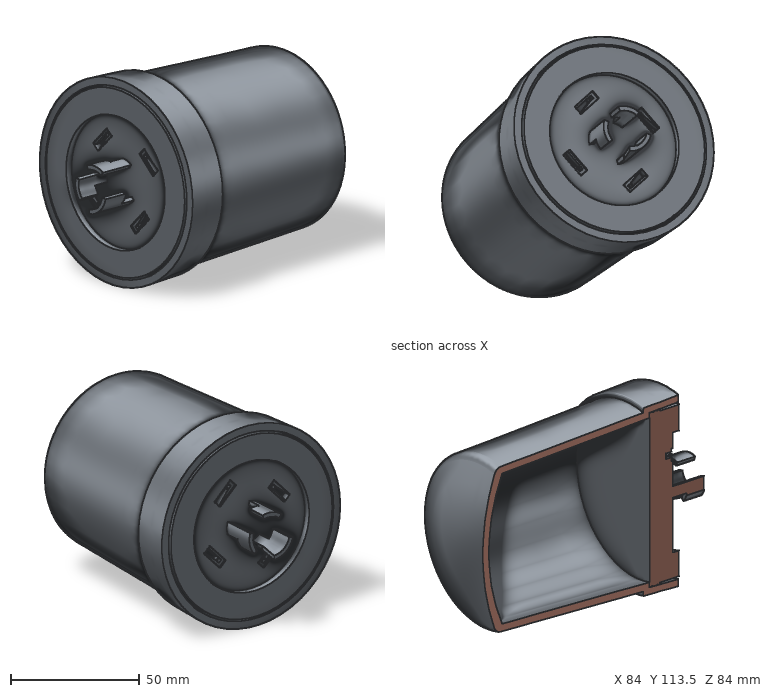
import cadquery as cq
import math


total_length = 113.5

rim_radius = 42.0
collar_top_radius = 41.3
collar_height = 17.6
collar_edge_fillet = 0.7
body_bottom_radius = 39.4
body_top_radius = 36.5
shoulder_height = 91.1
dome_height = 98.2
shoulder_fillet = 3.9

wall = 3.2
seat_height = collar_height - wall
mouth_radius = rim_radius - wall
seat_radius = mouth_radius - (rim_radius - collar_top_radius) * seat_height / collar_height
cavity_bottom_radius = body_bottom_radius - wall
cavity_top_radius = body_top_radius - wall

base_radius = 37.9
base_protrusion = 0.3
groove_depth = 9.1
recess_radius = 27.1
recess_depth = 3.1
recess_floor = recess_depth - base_protrusion

slot_count = 4
first_diagonal = 45
slot_length = 10.6
slot_width = 3.7
slot_depth = 0.7
slot_radials = [18.2, 17.7]
slot_shift = 3.2
pocket_depth = 3.4
pocket_length = 7.3
pocket_wide_end = 2.6
pocket_narrow_end = 1.5
pocket_margin = 0.9
eye_size = 1.5
eye_gap = 0.3

prong_inner_radius = 7.7
prong_outer_radius = 9.5
hook_start = 4.0
short_reach = 13.0
long_reach = total_length - dome_height
long_stem_start = 287
long_stem_end = 318
long_tip_start = 273
prongs = [
    (54, 84, 110, short_reach),
    (163, 195, 221, short_reach),
    (long_stem_start, long_stem_end, 349, long_reach),
]


def dome_arc_middle(edge_radius, edge_height, top_height):
    """Point halfway along the circular arc from the dome's edge to its top on the axis."""
    rise = top_height - edge_height
    sphere_radius = (edge_radius**2 + rise**2) / (2 * rise)
    half_angle = math.asin(edge_radius / sphere_radius) / 2
    drop = sphere_radius * (1 - math.cos(half_angle))
    return (sphere_radius * math.sin(half_angle), top_height - drop)


def revolve_about_y(profile):
    return profile.close().revolve(360, (0, 0, 0), (0, 1, 0))


def fillet_circle(solid, radius, height, fillet_radius):
    """Round the circular edge that has this radius at this height."""
    tolerance = 0.01
    near_center = cq.selectors.BoxSelector(
        (-tolerance, height - tolerance, -tolerance),
        (tolerance, height + tolerance, tolerance),
        boundingbox=False,
    )
    circles = solid.edges("%CIRCLE").edges(near_center)
    matching = [circle for circle in circles.vals() if abs(circle.radius() - radius) < tolerance]
    return solid.newObject(matching).fillet(fillet_radius)


def make_cover():
    outside = revolve_about_y(
        cq.Workplane("XY")
        .lineTo(rim_radius, 0)
        .lineTo(collar_top_radius, collar_height)
        .lineTo(body_bottom_radius, collar_height)
        .lineTo(body_top_radius, shoulder_height)
        .threePointArc(
            dome_arc_middle(body_top_radius, shoulder_height, dome_height), (0, dome_height)
        )
    )
    outside = fillet_circle(outside, collar_top_radius, collar_height, collar_edge_fillet)
    outside = fillet_circle(outside, body_top_radius, shoulder_height, shoulder_fillet)
    cavity_shoulder = shoulder_height - wall
    cavity_top = dome_height - wall
    cavity = revolve_about_y(
        cq.Workplane("XY")
        .lineTo(mouth_radius, 0)
        .lineTo(seat_radius, seat_height)
        .lineTo(cavity_bottom_radius, seat_height)
        .lineTo(cavity_top_radius, cavity_shoulder)
        .threePointArc(
            dome_arc_middle(cavity_top_radius, cavity_shoulder, cavity_top), (0, cavity_top)
        )
    )
    return outside.cut(cavity)


def facing_plane(height):
    """Sketch plane across the axis: local x is X, local y is Z, extrusion runs toward -Y."""
    return cq.Workplane("XZ", origin=(0, height, 0))


def base_plug():
    flange_radius = mouth_radius + (seat_radius - mouth_radius) * groove_depth / seat_height
    return revolve_about_y(
        cq.Workplane("XY")
        .moveTo(0, recess_floor)
        .lineTo(recess_radius, recess_floor)
        .lineTo(recess_radius, -base_protrusion)
        .lineTo(base_radius, -base_protrusion)
        .lineTo(base_radius, groove_depth)
        .lineTo(flange_radius, groove_depth)
        .lineTo(seat_radius, seat_height)
        .lineTo(0, seat_height)
    )


def contact_pocket():
    """Tapered pocket and small square eye, placed about the middle of a slot lying along local y."""
    straight_side = pocket_margin - slot_width / 2
    pocket_start = -slot_length / 2
    pocket_end = pocket_start + pocket_length
    pocket = (
        facing_plane(recess_floor)
        .moveTo(straight_side, pocket_start)
        .lineTo(straight_side + pocket_wide_end, pocket_start)
        .lineTo(straight_side + pocket_narrow_end, pocket_end)
        .lineTo(straight_side, pocket_end)
        .close()
        .extrude(-pocket_depth)
    )
    eye = (
        facing_plane(recess_floor)
        .center(straight_side + eye_size / 2, pocket_end + eye_gap + eye_size / 2)
        .rect(eye_size, eye_size)
        .extrude(-pocket_depth)
    )
    return pocket.union(eye)


def slot_cutter(index):
    """Shallow slot with a contact pocket in its floor; every second pocket is turned end for end."""
    slot = facing_plane(recess_floor).rect(slot_width, slot_length).extrude(-slot_depth)
    pocket = contact_pocket().rotate((0, 0, 0), (0, 1, 0), 180 * (index % 2))
    radial = slot_radials[index % 2]
    diagonal = first_diagonal + index * 360 / slot_count
    cutter = slot.union(pocket).translate((radial, 0, -slot_shift))
    return cutter.rotate((0, 0, 0), (0, -1, 0), diagonal)


def ring_point(radius, angle):
    return (radius * math.cos(math.radians(angle)), radius * math.sin(math.radians(angle)))


def ring_sector(start, end, top, bottom):
    """Piece of the prong ring between two angles, from height `top` down to `bottom`."""
    middle = (start + end) / 2
    return (
        facing_plane(top)
        .moveTo(*ring_point(prong_inner_radius, start))
        .lineTo(*ring_point(prong_outer_radius, start))
        .threePointArc(ring_point(prong_outer_radius, middle), ring_point(prong_outer_radius, end))
        .lineTo(*ring_point(prong_inner_radius, end))
        .threePointArc(ring_point(prong_inner_radius, middle), ring_point(prong_inner_radius, start))
        .close()
        .extrude(top - bottom)
    )


def make_prong(stem_start, stem_end, hook_end, reach):
    stem = ring_sector(stem_start, stem_end, recess_floor, -reach)
    hook = ring_sector(stem_start, hook_end, -hook_start, -reach)
    return stem.union(hook)


def long_prong_flare():
    """Wedge that slants the free edge of the long prong outward from the hook's start to the tip."""
    middle_radius = (prong_inner_radius + prong_outer_radius) / 2
    stem_x = ring_point(middle_radius, long_stem_start)[0]
    tip_x = ring_point(middle_radius, long_tip_start)[0]
    far_x = prong_outer_radius
    slant = (
        cq.Workplane("XY")
        .moveTo(stem_x, -hook_start)
        .lineTo(tip_x, -long_reach)
        .lineTo(far_x, -long_reach)
        .lineTo(far_x, -hook_start)
        .close()
        .extrude(-prong_outer_radius)
    )
    return ring_sector(long_tip_start, long_stem_end, -hook_start, -long_reach).intersect(slant)


def make_base():
    base = base_plug()
    for index in range(slot_count):
        base = base.cut(slot_cutter(index))
    for prong in prongs:
        base = base.union(make_prong(*prong))
    return base.union(long_prong_flare())


cover = make_cover()
base = make_base()
result = cq.Compound.makeCompound([cover.val(), base.val()])